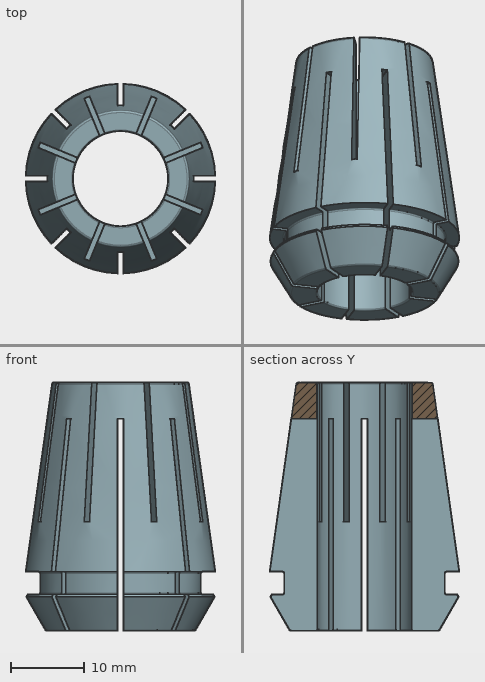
import cadquery as cq
import math

HEIGHT = 34.0
MAX_RADIUS = 13.0
BORE_RADIUS = 6.5

NOSE_ANGLE = 30.0
NOSE_TOP_Z = 5.0
NOSE_MAX_RADIUS = 12.9

GROOVE_RADIUS = 11.0
TAPER_BASE_Z = 8.1

TAPER_ANGLE = 8.0

NOSE_RIM_CHAMFER = 0.4
OUTER_ROUND = 0.3
SMALL_ROUND = 0.2

SLOT_WIDTH = 0.78
SLOTS_PER_SET = 8
SLOT_PITCH = 360.0 / SLOTS_PER_SET
LOWER_SLOT_TOP_Z = 29.0
UPPER_SLOT_BOTTOM_Z = 14.93

TOLERANCE = 0.0005

NOSE_SLOPE = math.tan(math.radians(NOSE_ANGLE))
NOSE_RIM_RADIUS = NOSE_MAX_RADIUS + NOSE_RIM_CHAMFER * math.sin(math.radians(NOSE_ANGLE))
NOSE_BASE_RADIUS = NOSE_RIM_RADIUS - NOSE_TOP_Z * NOSE_SLOPE
TAPER_TOP_RADIUS = MAX_RADIUS - (HEIGHT - TAPER_BASE_Z) * math.tan(math.radians(TAPER_ANGLE))


def circle_at(body, radius, z):
    """The circular edge of the given radius at height z."""

    def matches(edge):
        return abs(edge.radius() - radius) < TOLERANCE and abs(edge.Center().z - z) < TOLERANCE

    return body.edges("%CIRCLE").filter(matches)


def turned_body():
    """Half section revolved about Z, with its edges chamfered or rounded."""
    section = [
        (BORE_RADIUS, 0),
        (NOSE_BASE_RADIUS, 0),
        (NOSE_RIM_RADIUS, NOSE_TOP_Z),
        (GROOVE_RADIUS, NOSE_TOP_Z),
        (GROOVE_RADIUS, TAPER_BASE_Z),
        (MAX_RADIUS, TAPER_BASE_Z),
        (TAPER_TOP_RADIUS, HEIGHT),
        (BORE_RADIUS, HEIGHT),
    ]
    body = cq.Workplane("XZ").polyline(section).close().revolve(360, (0, 0), (0, 1))
    body = circle_at(body, NOSE_RIM_RADIUS, NOSE_TOP_Z).chamfer(NOSE_RIM_CHAMFER)
    rounded_edges = [
        (BORE_RADIUS, 0, SMALL_ROUND),
        (NOSE_BASE_RADIUS, 0, OUTER_ROUND),
        (GROOVE_RADIUS, NOSE_TOP_Z, SMALL_ROUND),
        (GROOVE_RADIUS, TAPER_BASE_Z, SMALL_ROUND),
        (TAPER_TOP_RADIUS, HEIGHT, OUTER_ROUND),
        (BORE_RADIUS, HEIGHT, SMALL_ROUND),
    ]
    for radius, z, round_radius in rounded_edges:
        body = circle_at(body, radius, z).fillet(round_radius)
    return body


def slot_set(bottom_z, top_z, first_angle):
    """Radial slot cutters spaced evenly around Z, each running from the axis to beyond the rim."""
    blade = cq.Workplane("XY", origin=(0, 0, bottom_z)).box(
        2 * MAX_RADIUS, SLOT_WIDTH, top_z - bottom_z, centered=(False, True, False)
    )
    cutters = cq.Workplane("XY")
    for i in range(SLOTS_PER_SET):
        cutters = cutters.add(blade.rotate((0, 0, 0), (0, 0, 1), first_angle + i * SLOT_PITCH))
    return cutters.combine()


lower_slots = slot_set(0, LOWER_SLOT_TOP_Z, 0)
upper_slots = slot_set(UPPER_SLOT_BOTTOM_Z, HEIGHT, SLOT_PITCH / 2)
result = turned_body().cut(lower_slots).cut(upper_slots)